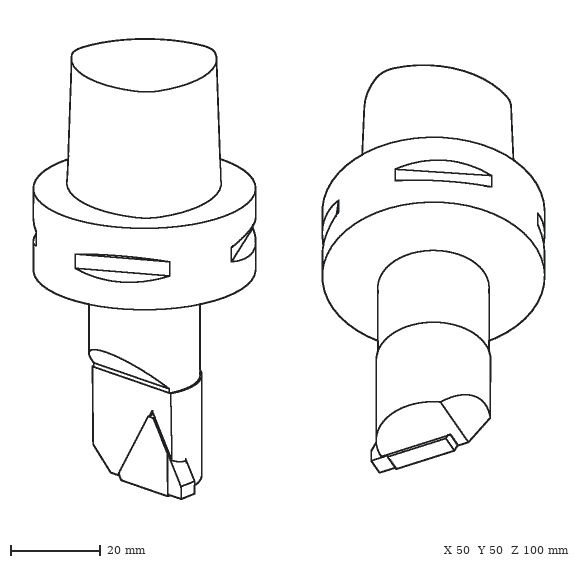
import cadquery as cq
import math


taper_length = 30.0
corner_reach = 18.6
side_reach = 16.5
corner_radius = 8.1
taper_inset = 1.0

flange_diameter = 50.0
flange_length = 19.6
cone_angle = 15.0
notch_count = 4
notch_depth = 2.5
notch_floor_height = 3.4
notch_flank_angle = 30.0
notch_z = -10.0

neck_diameter = 25.0
head_diameter = 25.8
head_top_z = -45.0
total_length = 100.0
tip_z = taper_length - total_length

flat_turn = 14.0
flat_lean = 1.0
flat_distance = 4.2
runout_start = 1.0
corner_cut_u = -6.9
end_clearance = 0.7

insert_apex_u = 6.3
insert_height = 19.2
insert_seat_depth = 4.0
insert_rise = 0.5
insert_corner_cut = 1.6
insert_tip_u = 15.4
insert_step_u = 11.3
insert_step = 0.4
insert_face_step = 0.1

cutter_size = 60.0

turn = math.radians(flat_turn)
lean = math.radians(flat_lean)
flat_plane = cq.Plane(
    origin=(flat_distance * math.sin(turn), -flat_distance * math.cos(turn), head_top_z),
    xDir=(math.cos(turn), math.sin(turn), 0),
    normal=(
        math.sin(turn) * math.cos(lean),
        -math.cos(turn) * math.cos(lean),
        -math.sin(lean),
    ),
)
insert_bottom_w = (tip_z - head_top_z + insert_rise * math.sin(lean)) / math.cos(lean)
head_bottom_w = insert_bottom_w + end_clearance
insert_apex_w = insert_bottom_w + insert_height
insert_slope = math.tan(math.radians(60))
insert_left_u = insert_apex_u - insert_height / insert_slope


def polar(radius, degrees):
    angle = math.radians(degrees)
    return cq.Vector(radius * math.cos(angle), radius * math.sin(angle))


def polygon_outline(inset, z):
    """Rounded-triangle wire, moved inward by inset."""
    corner_center = corner_reach - corner_radius
    reach_gap = side_reach - corner_radius
    side_center = (corner_center**2 - reach_gap**2) / (2 * reach_gap - corner_center)
    side_radius = side_reach + side_center
    half_corner = 60 - math.degrees(math.atan2(
        corner_center * math.sin(math.radians(60)),
        side_center + corner_center * math.cos(math.radians(60)),
    ))
    lift = cq.Vector(0, 0, z)
    edges = []
    for corner_angle in (90, 210, 330):
        side_angle = corner_angle + 60
        center = polar(corner_center, corner_angle)
        radius = corner_radius - inset
        start = center + polar(radius, corner_angle - half_corner) + lift
        middle = center + polar(radius, corner_angle) + lift
        end = center + polar(radius, corner_angle + half_corner) + lift
        next_corner = corner_angle + 120
        next_start = polar(corner_center, next_corner) + polar(radius, next_corner - half_corner) + lift
        side_middle = polar(-side_center, side_angle) + polar(side_radius - inset, side_angle) + lift
        edges.append(cq.Edge.makeThreePointArc(start, middle, end))
        edges.append(cq.Edge.makeThreePointArc(end, side_middle, next_start))
    return cq.Wire.assembleEdges(edges)


def make_notch(angle):
    """Gripper notch with a flat floor and flared flanks, cut into the flange rim."""
    flange_radius = flange_diameter / 2
    floor_x = flange_radius - notch_depth
    half_floor = notch_floor_height / 2
    half_mouth = half_floor + notch_depth * math.tan(math.radians(notch_flank_angle))
    return (
        cq.Workplane("XZ")
        .polyline([
            (floor_x, notch_z - half_floor),
            (flange_radius, notch_z - half_mouth),
            (flange_radius, notch_z + half_mouth),
            (floor_x, notch_z + half_floor),
        ])
        .close()
        .extrude(cutter_size / 2, both=True)
        .rotate((0, 0, 0), (0, 0, 1), angle)
    )


def make_runout():
    """Cutter that ends the flat with a 45 degree slope in the neck."""
    reach = neck_diameter
    profile_plane = cq.Plane(
        origin=flat_plane.origin,
        xDir=flat_plane.zDir,
        normal=-flat_plane.xDir,
    )
    return (
        cq.Workplane(profile_plane)
        .polyline([
            (0, -reach),
            (reach, -reach),
            (reach, runout_start + reach),
            (0, runout_start),
        ])
        .close()
        .extrude(cutter_size / 2, both=True)
    )


def make_holder():
    flange_radius = flange_diameter / 2
    neck_radius = neck_diameter / 2
    cone_height = (flange_radius - neck_radius) * math.tan(math.radians(cone_angle))
    body = (
        cq.Workplane("XZ")
        .polyline([
            (0, 0),
            (flange_radius, 0),
            (flange_radius, -flange_length),
            (neck_radius, -flange_length - cone_height),
            (neck_radius, head_top_z),
            (0, head_top_z),
        ])
        .close()
        .revolve(360, (0, 0, 0), (0, 1, 0))
    )
    for index in range(notch_count):
        body = body.cut(make_notch(45 + index * 360 / notch_count))
    body = body.cut(make_runout())
    shank = cq.Solid.makeLoft(
        [polygon_outline(0, 0), polygon_outline(taper_inset, taper_length)], True
    )
    return body.union(cq.Workplane(shank))


def make_head():
    blank = (
        cq.Workplane("XY", origin=(0, 0, head_top_z))
        .circle(head_diameter / 2)
        .extrude(tip_z - head_top_z)
    )
    side = cutter_size / 2
    kept = (
        cq.Workplane(flat_plane)
        .polyline([
            (corner_cut_u, head_bottom_w),
            (side, head_bottom_w),
            (side, side),
            (-side, side),
            (-side, head_bottom_w + side + corner_cut_u),
        ])
        .close()
        .extrude(-cutter_size)
    )
    pocket = (
        cq.Workplane(flat_plane)
        .polyline([
            (insert_apex_u, insert_apex_w),
            (insert_left_u, insert_bottom_w),
            (2 * insert_apex_u - insert_left_u, insert_bottom_w),
        ])
        .close()
        .extrude(-insert_seat_depth)
    )
    return blank.intersect(kept).cut(pocket)


def make_insert():
    """Triangular insert with blunted corners and a stepped cutting tip."""
    cut_u = insert_corner_cut * math.cos(math.radians(60))
    cut_w = insert_corner_cut * math.sin(math.radians(60))
    tip_top_w = insert_apex_w - (insert_tip_u - insert_apex_u) * insert_slope
    step_w = insert_bottom_w + insert_step
    insert = (
        cq.Workplane(flat_plane)
        .workplane(offset=insert_rise)
        .polyline([
            (insert_apex_u + cut_u, insert_apex_w - cut_w),
            (insert_apex_u - cut_u, insert_apex_w - cut_w),
            (insert_left_u + cut_u, insert_bottom_w + cut_w),
            (insert_left_u + insert_corner_cut, insert_bottom_w),
            (insert_step_u, insert_bottom_w),
            (insert_step_u, step_w),
            (insert_tip_u, step_w),
            (insert_tip_u, tip_top_w),
        ])
        .close()
        .extrude(-insert_rise - insert_seat_depth)
    )
    tip_relief = (
        cq.Workplane(flat_plane)
        .workplane(offset=insert_rise)
        .moveTo(insert_step_u, insert_bottom_w)
        .rect(insert_tip_u - insert_step_u, insert_height, centered=False)
        .extrude(-insert_face_step)
    )
    return insert.cut(tip_relief)


holder = make_holder()
head = make_head()
insert = make_insert()

result = cq.Compound.makeCompound([holder.val(), head.val(), insert.val()])